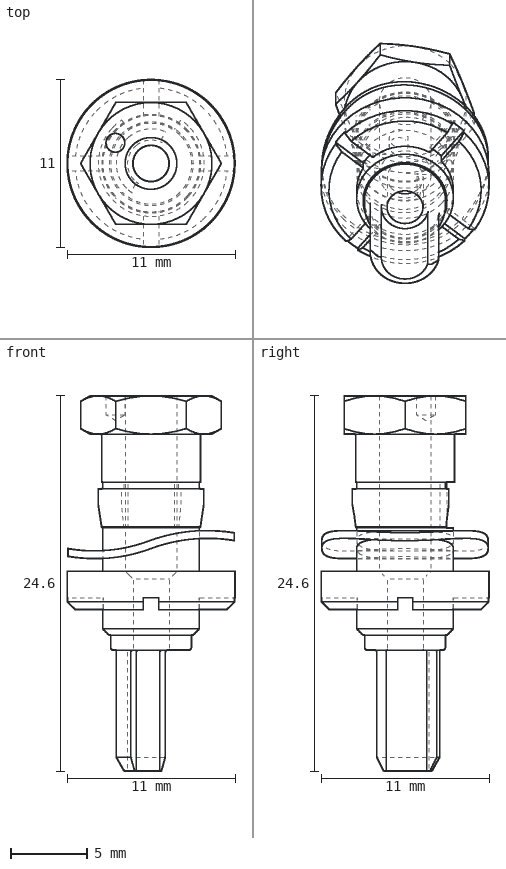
import cadquery as cq
import math

TOTAL_HEIGHT = 24.6
HEX_BOTTOM = 22.1
NECK_BOTTOM = 18.95
SLEEVE_SHOULDER = 18.5
SLEEVE_TAPER_TOP = 17.47
SLEEVE_BOTTOM = 15.95
FLANGE_TOP = 13.1
SLOT_TOP = 11.37
FLANGE_BOTTOM = 10.58
SHANK_CHAMFER_TOP = 9.32
COLLAR_TOP = 8.9
COLLAR_BOTTOM = 7.92
TIP_CHAMFER_TOP = 0.9

HEX_ACROSS_FLATS = 8.0
HEX_CHAMFER_ANGLE = 30.0

NECK_RADIUS = 3.25
SHANK_RADIUS = 3.17
SHANK_END_RADIUS = 2.75
GROOVE_RADIUS = 2.73
FLANGE_RADIUS = 5.5
FLANGE_CHAMFER = 0.52
COLLAR_RADIUS = 2.65
COLLAR_FILLET = 0.2
PIN_RADIUS = 2.3
PIN_TIP_RADIUS = 1.77
PIN_TIP_FILLET = 0.12
CORNER_FILLET = 0.07

SLEEVE_RADIUS = 3.47
SLEEVE_END_RADIUS = 3.25
SLEEVE_GAP_ANGLE = 68.0

SLOT_COUNT = 4
SLOT_WIDTH = 0.98

TOP_BORE_RADIUS = 1.7
THROUGH_BORE_RADIUS = 1.18
PIN_BORE_RADIUS = 1.55
BORE_CONE_ANGLE = 90.0

INDEX_HOLE_X = -2.34
INDEX_HOLE_Y = 1.35
INDEX_HOLE_RADIUS = 0.62
INDEX_HOLE_DEPTH = 1.23
INDEX_HOLE_CONE_ANGLE = 118.0

PIN_FLAT_OFFSET = 0.22
PIN_FLAT_ANGLE = -30.0
PIN_FLAT_FILLET = 0.15

WASHER_RADIUS = 5.45
WASHER_THICKNESS = 0.52
WASHER_MID_HEIGHT = 14.6
WAVE_RISE = 0.66
WAVE_CREST_X = 3.7


def cone_height(radius, included_angle):
    """Height of a cone with the given base radius and included angle in degrees."""
    return radius / math.tan(math.radians(included_angle / 2))


def revolved(points):
    """Turn a closed (radius, height) outline about the Z axis."""
    return cq.Workplane("XZ").polyline(points).close().revolve(360, (0, 0, 0), (0, 1, 0))


def make_hex_head():
    """Hexagon with its corners chamfered at both ends."""
    height = TOTAL_HEIGHT - HEX_BOTTOM
    across_corners = HEX_ACROSS_FLATS / math.cos(math.pi / 6)
    prism = cq.Workplane("XY").workplane(offset=HEX_BOTTOM).polygon(6, across_corners).extrude(height)
    face_radius = HEX_ACROSS_FLATS / 2
    corner_radius = across_corners / 2
    drop = (corner_radius - face_radius) * math.tan(math.radians(HEX_CHAMFER_ANGLE))
    chamfer_envelope = revolved([
        (0, HEX_BOTTOM),
        (face_radius, HEX_BOTTOM),
        (corner_radius, HEX_BOTTOM + drop),
        (corner_radius, TOTAL_HEIGHT - drop),
        (face_radius, TOTAL_HEIGHT),
        (0, TOTAL_HEIGHT),
    ])
    return prism.intersect(chamfer_envelope)


def make_stem():
    """Neck, groove core, shank, collar and pin as one turned shape."""
    stem = (
        cq.Workplane("XZ")
        .moveTo(0, 0)
        .lineTo(PIN_TIP_RADIUS, 0)
        .lineTo(PIN_RADIUS, TIP_CHAMFER_TOP)
        .lineTo(PIN_RADIUS, COLLAR_BOTTOM)
        .lineTo(COLLAR_RADIUS - COLLAR_FILLET, COLLAR_BOTTOM)
        .tangentArcPoint((COLLAR_RADIUS, COLLAR_BOTTOM + COLLAR_FILLET), relative=False)
        .lineTo(COLLAR_RADIUS, COLLAR_TOP)
        .lineTo(SHANK_END_RADIUS, COLLAR_TOP)
        .lineTo(SHANK_RADIUS, SHANK_CHAMFER_TOP)
        .lineTo(SHANK_RADIUS, SLEEVE_BOTTOM)
        .lineTo(GROOVE_RADIUS, SLEEVE_BOTTOM)
        .lineTo(GROOVE_RADIUS, NECK_BOTTOM)
        .lineTo(NECK_RADIUS, NECK_BOTTOM)
        .lineTo(NECK_RADIUS, HEX_BOTTOM - CORNER_FILLET)
        .tangentArcPoint((NECK_RADIUS + CORNER_FILLET, HEX_BOTTOM), relative=False)
        .lineTo(0, HEX_BOTTOM)
        .close()
        .revolve(360, (0, 0, 0), (0, 1, 0))
    )
    return stem.faces("<Z").edges().fillet(PIN_TIP_FILLET)


def make_sleeve():
    """Band with a tapered lower end, wrapped round the groove except for its gap."""
    sleeve = (
        cq.Workplane("XZ")
        .moveTo(GROOVE_RADIUS, SLEEVE_BOTTOM)
        .lineTo(SHANK_RADIUS, SLEEVE_BOTTOM)
        .lineTo(SLEEVE_END_RADIUS, SLEEVE_BOTTOM + SLEEVE_END_RADIUS - SHANK_RADIUS)
        .lineTo(SLEEVE_RADIUS, SLEEVE_TAPER_TOP)
        .lineTo(SLEEVE_RADIUS, SLEEVE_SHOULDER)
        .lineTo(SHANK_RADIUS + CORNER_FILLET, SLEEVE_SHOULDER)
        .radiusArc((SHANK_RADIUS, SLEEVE_SHOULDER + CORNER_FILLET), CORNER_FILLET)
        .lineTo(SHANK_RADIUS, NECK_BOTTOM)
        .lineTo(GROOVE_RADIUS, NECK_BOTTOM)
        .close()
        .revolve(360 - SLEEVE_GAP_ANGLE, (0, 0, 0), (0, 1, 0))
    )
    return sleeve.rotate((0, 0, 0), (0, 0, 1), 90 + SLEEVE_GAP_ANGLE / 2)


def make_flange():
    """Disc chamfered underneath and crossed by radial slots."""
    flange = (
        cq.Workplane("XY").workplane(offset=FLANGE_BOTTOM)
        .circle(FLANGE_RADIUS).extrude(FLANGE_TOP - FLANGE_BOTTOM)
        .faces("<Z").chamfer(FLANGE_CHAMFER)
    )
    slot = (
        cq.Workplane("XY").box(FLANGE_RADIUS, SLOT_WIDTH, SLOT_TOP - FLANGE_BOTTOM, (False, True, False))
        .translate((0, 0, FLANGE_BOTTOM))
    )
    for index in range(SLOT_COUNT):
        flange = flange.cut(slot.rotate((0, 0, 0), (0, 0, 1), index * 360 / SLOT_COUNT))
    return flange


def make_axial_bore():
    """Wide top bore that narrows at flange level, and a wider channel inside the pin."""
    step_cone = cone_height(TOP_BORE_RADIUS - THROUGH_BORE_RADIUS, BORE_CONE_ANGLE)
    return revolved([
        (0, 0),
        (PIN_BORE_RADIUS, 0),
        (PIN_BORE_RADIUS, COLLAR_BOTTOM),
        (THROUGH_BORE_RADIUS, COLLAR_BOTTOM),
        (THROUGH_BORE_RADIUS, FLANGE_TOP - step_cone),
        (TOP_BORE_RADIUS, FLANGE_TOP),
        (TOP_BORE_RADIUS, TOTAL_HEIGHT),
        (0, TOTAL_HEIGHT),
    ])


def make_index_hole():
    """Cylindrical hole with a conical floor."""
    floor = TOTAL_HEIGHT - INDEX_HOLE_DEPTH
    return revolved([
        (0, floor - cone_height(INDEX_HOLE_RADIUS, INDEX_HOLE_CONE_ANGLE)),
        (INDEX_HOLE_RADIUS, floor),
        (INDEX_HOLE_RADIUS, TOTAL_HEIGHT),
        (0, TOTAL_HEIGHT),
    ]).translate((INDEX_HOLE_X, INDEX_HOLE_Y, 0))


def make_pin_flat():
    """Block that removes one side of the pin up to the collar."""
    size = 2 * PIN_RADIUS
    return (
        cq.Workplane("XY").box(size, size, COLLAR_BOTTOM, (False, True, False))
        .edges("<X and >Z").fillet(PIN_FLAT_FILLET)
        .translate((-PIN_FLAT_OFFSET, 0, 0))
        .rotate((0, 0, 0), (0, 0, 1), PIN_FLAT_ANGLE)
    )


def make_screw():
    """Turned stem with sleeve, flange and head, bored through and opened along the pin."""
    solid = make_stem().union(make_flange()).union(make_sleeve()).union(make_hex_head())
    return solid.cut(make_axial_bore()).cut(make_index_hole()).cut(make_pin_flat())


def make_washer():
    """Ring cut from a strip bent in two equal arcs: trough toward -X, crest toward +X."""
    lower_radius = (WAVE_CREST_X**2 + WAVE_RISE**2) / (2 * WAVE_RISE)
    trough_center = (-WAVE_CREST_X, WASHER_MID_HEIGHT - WAVE_RISE + lower_radius)
    crest_center = (WAVE_CREST_X, WASHER_MID_HEIGHT + WAVE_RISE - lower_radius)
    join_angle = math.asin(WAVE_CREST_X / lower_radius)
    end_angle = math.asin((WASHER_RADIUS + WASHER_THICKNESS - WAVE_CREST_X) / lower_radius)

    def trough(radius, angle):
        return (trough_center[0] + radius * math.sin(angle), trough_center[1] - radius * math.cos(angle))

    def crest(radius, angle):
        return (crest_center[0] + radius * math.sin(angle), crest_center[1] + radius * math.cos(angle))

    trough_top = lower_radius - WASHER_THICKNESS
    crest_top = lower_radius + WASHER_THICKNESS
    strip = (
        cq.Workplane("XZ")
        .moveTo(*trough(lower_radius, -end_angle))
        .threePointArc(trough(lower_radius, 0), trough(lower_radius, join_angle))
        .threePointArc(crest(lower_radius, 0), crest(lower_radius, end_angle))
        .lineTo(*crest(crest_top, end_angle))
        .threePointArc(crest(crest_top, 0), crest(crest_top, -join_angle))
        .threePointArc(trough(trough_top, 0), trough(trough_top, -end_angle))
        .close()
        .extrude(WASHER_RADIUS, both=True)
    )
    ring = cq.Workplane("XY").circle(WASHER_RADIUS).circle(SHANK_RADIUS).extrude(TOTAL_HEIGHT)
    return strip.intersect(ring)


screw = make_screw()
washer = make_washer()
result = cq.Compound.makeCompound([screw.solids().val(), washer.solids().val()])